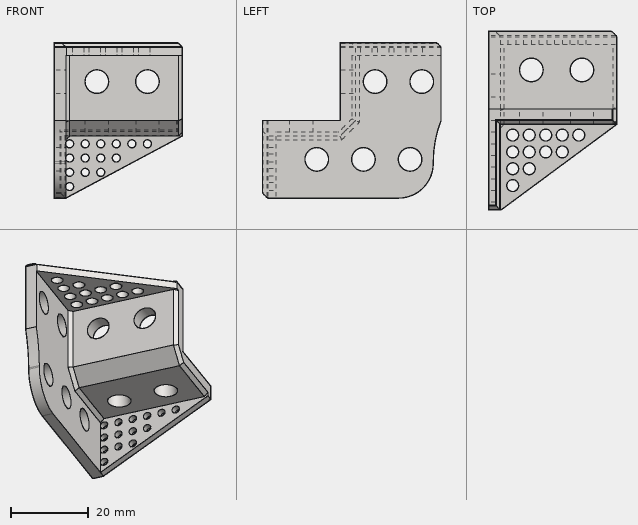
import cadquery as cq
import math

WIDTH = 33.0
DEPTH = 46.0
HEIGHT = 40.0

SIDE_THICK = 3.0
FLANGE_THICK = 4.0
BEND_Y = 26.0
BEND_Z = 20.0
WALL_Y = BEND_Y - FLANGE_THICK
SHELF_Z = BEND_Z - FLANGE_THICK
END_BEVEL = 1.0

CORNER_RADIUS = 9.0
CORNER_INSET = 2.0
FLARE_BOTTOM = 9.4
FLARE_TOP = BEND_Z

FACET_SHORT = 0.15
FACET_LONG = 0.3
TOP_SLOPE = 0.8
REAR_SLOPE = 1.05
TOP_RIM_START = HEIGHT - TOP_SLOPE - FACET_SHORT - FACET_LONG
REAR_RIM_START = DEPTH - REAR_SLOPE - FACET_SHORT - FACET_LONG

BOLT_DIA = 6.0
FLANGE_HOLE_X = [11.0, 24.0]
WALL_HOLE_Z = 30.0
SHELF_HOLE_Y = 36.0
SIDE_HOLES_YZ = [(5.0, 30.0), (17.0, 30.0), (8.0, 10.0), (20.0, 10.0), (32.0, 10.0)]

GUSSET_THICK = 2.0
TOP_GUSSET_TOE_X = 3.25
REAR_GUSSET_TOE_X = SIDE_THICK
TOP_HOLE_DIA = 3.0
TOP_HOLE_START = (6.2, 19.25)
TOP_HOLE_PITCH = (4.25, 4.33)
TOP_HOLE_ROWS = [5, 4, 2, 1]
REAR_HOLE_DIA = 2.0
REAR_HOLE_START = (4.0, 14.0)
REAR_HOLE_PITCH = (4.0, 11.0 / 3.0)
REAR_HOLE_ROWS = [6, 4, 3, 1]


def swap_yz(body):
    """Exchange the Y and Z coordinates of a body."""
    return body.rotate((0, 0, 0), (1, 0, 0), 90).mirror("XZ")


def side_plate():
    """Upright plate on the YZ plane with a rounded, flared lower front corner."""
    flare_rise = FLARE_TOP - FLARE_BOTTOM
    flare_radius = (flare_rise**2 + CORNER_INSET**2) / (2 * CORNER_INSET)
    half_angle = math.asin(flare_rise / flare_radius) / 2
    flare_mid = (
        CORNER_INSET - flare_radius * (1 - math.cos(half_angle)),
        FLARE_BOTTOM + flare_radius * math.sin(half_angle),
    )
    corner_mid = CORNER_RADIUS * (1 - math.sqrt(0.5))
    return (
        cq.Workplane("YZ")
        .moveTo(REAR_RIM_START, 0)
        .lineTo(REAR_RIM_START, BEND_Z)
        .lineTo(BEND_Y, BEND_Z)
        .lineTo(BEND_Y, TOP_RIM_START)
        .lineTo(0, TOP_RIM_START)
        .lineTo(0, FLARE_TOP)
        .threePointArc(flare_mid, (CORNER_INSET, FLARE_BOTTOM))
        .lineTo(CORNER_INSET, CORNER_RADIUS)
        .threePointArc((CORNER_INSET + corner_mid, corner_mid), (CORNER_INSET + CORNER_RADIUS, 0))
        .close()
        .extrude(SIDE_THICK)
    )


def flange_outline(x, growth):
    """Closed outline of the bent flange at x, its inner faces moved outward by growth."""
    wall = WALL_Y - growth
    shelf = SHELF_Z - growth
    mitre = growth * math.tan(math.pi / 8)
    points = [
        (BEND_Y, TOP_RIM_START),
        (wall, TOP_RIM_START),
        (wall, BEND_Z - mitre),
        (BEND_Y - mitre, shelf),
        (REAR_RIM_START, shelf),
        (REAR_RIM_START, BEND_Z),
        (BEND_Y, BEND_Z),
    ]
    return cq.Wire.makePolygon([cq.Vector(x, y, z) for y, z in points], close=True)


def flanges():
    """Upright and level flanges with the web at the root and the bevelled free end."""
    outlines = [
        flange_outline(SIDE_THICK, END_BEVEL),
        flange_outline(SIDE_THICK + END_BEVEL, 0),
        flange_outline(WIDTH - END_BEVEL, 0),
        flange_outline(WIDTH, -END_BEVEL),
    ]
    return cq.Workplane(cq.Solid.makeLoft(outlines, True))


def rim_outline(inner_y, heel_y, z, inset):
    """L-shaped outline of side plate and flange, inset except along its outer faces."""
    points = [
        (0, inset),
        (SIDE_THICK - inset, inset),
        (SIDE_THICK - inset, inner_y + inset),
        (WIDTH - inset, inner_y + inset),
        (WIDTH - inset, heel_y),
        (0, heel_y),
    ]
    return cq.Wire.makePolygon([cq.Vector(x, y, z) for x, y in points], close=True)


def rim(inner_y, heel_y, start_z, slope):
    """Bevelled cap that closes an L-shaped rim."""
    facets = [(0, 0), (FACET_SHORT, FACET_LONG), (slope, slope), (FACET_LONG, FACET_SHORT)]
    outlines = []
    inset = 0
    z = start_z
    for inward, rise in facets:
        inset += inward
        z += rise
        outlines.append(rim_outline(inner_y, heel_y, z, inset))
    return cq.Workplane(cq.Solid.makeLoft(outlines, True))


def gusset(inner_y, heel_y, top_z, toe_x):
    """Triangular plate between side plate and flange, reaching back through the flange."""
    return (
        cq.Workplane("XY", origin=(0, 0, top_z - GUSSET_THICK))
        .polyline([(0, 0), (toe_x, 0), (WIDTH, inner_y), (WIDTH, heel_y), (0, heel_y)])
        .close()
        .extrude(GUSSET_THICK)
    )


def gusset_holes(start, pitch, rows, diameter, top_z):
    """Cutters for the shortening rows of holes in a gusset."""
    centres = []
    for row, count in enumerate(rows):
        for column in range(count):
            centres.append((start[0] + column * pitch[0], start[1] - row * pitch[1]))
    return (
        cq.Workplane("XY", origin=(0, 0, top_z - GUSSET_THICK))
        .pushPoints(centres)
        .circle(diameter / 2)
        .extrude(GUSSET_THICK)
    )


def top_end():
    """Top rim with its perforated gusset."""
    plate = gusset(WALL_Y, BEND_Y, TOP_RIM_START, TOP_GUSSET_TOE_X)
    holes = gusset_holes(TOP_HOLE_START, TOP_HOLE_PITCH, TOP_HOLE_ROWS, TOP_HOLE_DIA, TOP_RIM_START)
    return plate.cut(holes).union(rim(WALL_Y, BEND_Y, TOP_RIM_START, TOP_SLOPE))


def rear_end():
    """Rear rim with its perforated gusset, built lying down and then stood up."""
    plate = gusset(SHELF_Z, BEND_Z, REAR_RIM_START, REAR_GUSSET_TOE_X)
    holes = gusset_holes(
        REAR_HOLE_START, REAR_HOLE_PITCH, REAR_HOLE_ROWS, REAR_HOLE_DIA, REAR_RIM_START
    )
    flat = plate.cut(holes).union(rim(SHELF_Z, BEND_Z, REAR_RIM_START, REAR_SLOPE))
    return swap_yz(flat)


def bolt_holes():
    """Cutters for the bolt holes through both flanges and the side plate."""
    radius = BOLT_DIA / 2
    wall = (
        cq.Workplane("XZ", origin=(0, BEND_Y, 0))
        .pushPoints([(x, WALL_HOLE_Z) for x in FLANGE_HOLE_X])
        .circle(radius)
        .extrude(FLANGE_THICK)
    )
    shelf = (
        cq.Workplane("XY", origin=(0, 0, SHELF_Z))
        .pushPoints([(x, SHELF_HOLE_Y) for x in FLANGE_HOLE_X])
        .circle(radius)
        .extrude(FLANGE_THICK)
    )
    side = cq.Workplane("YZ").pushPoints(SIDE_HOLES_YZ).circle(radius).extrude(SIDE_THICK)
    return wall.union(shelf).union(side)


body = side_plate().union(flanges()).union(top_end()).union(rear_end())
result = body.cut(bolt_holes())